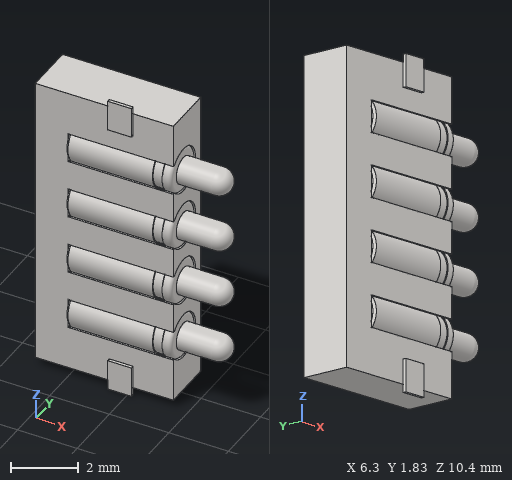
import cadquery as cq


HOUSING_LENGTH = 4.65
HOUSING_DEPTH = 1.71
OVERALL_HEIGHT = 10.4
TAB_OVERHANG = 0.25
HOUSING_HEIGHT = OVERALL_HEIGHT - 2 * TAB_OVERHANG

TAB_WIDTH = 0.8
TAB_HEIGHT = 1.03
TAB_THICKNESS = 0.1
TAB_START_X = 2.5

PIN_COUNT = 4
PIN_PITCH = 2.0
PIN_TIP_X = 6.3
BARREL_PROTRUSION = 0.12
BARREL_RADIUS = 0.75
BARREL_START_X = 1.1
BARREL_AXIS_Y = BARREL_RADIUS - BARREL_PROTRUSION
BARREL_CHAMFER = 0.07
BARREL_ROUNDING = 0.12
GROOVE_START_X = 4.01
GROOVE_WIDTH = 0.32
GROOVE_DEPTH = 0.04
PLUNGER_RADIUS = 0.45

SLOT_WIDTH = 1.0

PIN_HEIGHTS = [(i - (PIN_COUNT - 1) / 2) * PIN_PITCH for i in range(PIN_COUNT)]


def make_block():
    """Plain housing block, centred on Z."""
    return cq.Workplane("XY").box(
        HOUSING_LENGTH, HOUSING_DEPTH, HOUSING_HEIGHT, centered=(False, False, True)
    )


def make_tab(end):
    """Flat solder tab overhanging the upper (end = 1) or lower (end = -1) edge."""
    center_z = end * (OVERALL_HEIGHT - TAB_HEIGHT) / 2
    tab = cq.Workplane("XY").box(TAB_WIDTH, TAB_THICKNESS, TAB_HEIGHT, centered=(False, False, True))
    return tab.translate((TAB_START_X, -TAB_THICKNESS, center_z))


def make_pin_pocket(height):
    """Round bore for one barrel plus the slot that exposes it, open at the +X face."""
    length = HOUSING_LENGTH - BARREL_START_X
    bore = cq.Workplane("YZ").center(BARREL_AXIS_Y, 0).circle(BARREL_RADIUS).extrude(length)
    slot = cq.Workplane("XY").box(length, BARREL_AXIS_Y, SLOT_WIDTH, centered=(False, False, True))
    return bore.union(slot).translate((BARREL_START_X, 0, height))


def make_housing():
    """Housing block with its two solder tabs and the pin pockets."""
    housing = make_block()
    for end in (-1, 1):
        housing = housing.union(make_tab(end))
    for height in PIN_HEIGHTS:
        housing = housing.cut(make_pin_pocket(height))
    return housing


def make_pin(height):
    """Spring pin: grooved barrel and round-nosed plunger, turned about its own axis."""
    groove_end_x = GROOVE_START_X + GROOVE_WIDTH
    groove_radius = BARREL_RADIUS - GROOVE_DEPTH
    rounding_start_x = HOUSING_LENGTH - BARREL_ROUNDING
    profile = (
        cq.Workplane("XY")
        .moveTo(BARREL_START_X, 0)
        .lineTo(BARREL_START_X, BARREL_RADIUS - BARREL_CHAMFER)
        .lineTo(BARREL_START_X + BARREL_CHAMFER, BARREL_RADIUS)
        .lineTo(GROOVE_START_X, BARREL_RADIUS)
        .lineTo(GROOVE_START_X, groove_radius)
        .lineTo(groove_end_x, groove_radius)
        .lineTo(groove_end_x, BARREL_RADIUS)
        .lineTo(rounding_start_x, BARREL_RADIUS)
        .radiusArc((HOUSING_LENGTH, BARREL_RADIUS - BARREL_ROUNDING), BARREL_ROUNDING)
        .lineTo(HOUSING_LENGTH, PLUNGER_RADIUS)
        .lineTo(PIN_TIP_X - PLUNGER_RADIUS, PLUNGER_RADIUS)
        .radiusArc((PIN_TIP_X, 0), PLUNGER_RADIUS)
        .close()
    )
    pin = profile.revolve(360, (0, 0, 0), (1, 0, 0))
    return pin.translate((0, BARREL_AXIS_Y, height))


housing = make_housing()
pins = [make_pin(height) for height in PIN_HEIGHTS]

result = cq.Compound.makeCompound([housing.val(), *[pin.val() for pin in pins]])